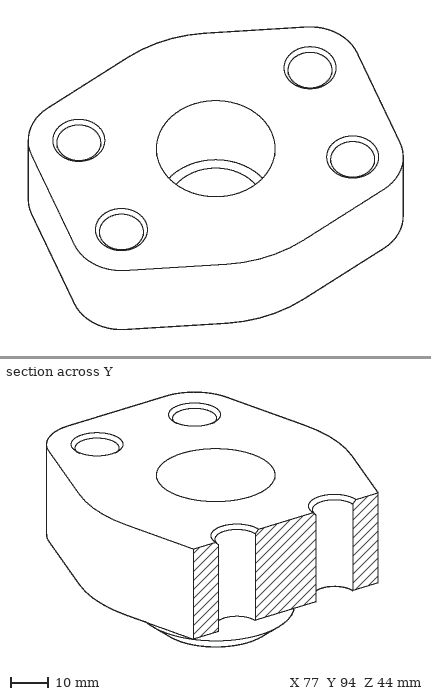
import cadquery as cq
import math

length = 94.0
width = 77.0
thickness = 27.2
side_radius = width / 2

bolt_x = 15.9
bolt_y = 33.4
bolt_diameter = 11.8
countersink_diameter = 14.0
countersink_angle = 90.0
corner_radius = length / 2 - bolt_y

total_height = 44.0
neck_diameter = 42.4
neck_tip_diameter = 31.0
neck_bevel_height = 4.7
neck_fillet = 3.8

bore_diameter = 26.4
socket_diameter = 32.0
socket_depth = thickness

neck_bottom = thickness - total_height


def polar(center_x, center_y, radius, angle):
    return (center_x + radius * math.cos(angle), center_y + radius * math.sin(angle))


def make_flange():
    """Side arcs about the centre, joined by tangent lines to the corner arcs."""
    center_distance = math.hypot(bolt_x, bolt_y)
    tangent_angle = math.atan2(bolt_y, bolt_x) - math.acos((side_radius - corner_radius) / center_distance)
    side_x, side_y = polar(0, 0, side_radius, tangent_angle)
    corner_x, corner_y = polar(bolt_x, bolt_y, corner_radius, tangent_angle)
    middle_angle = (tangent_angle + math.pi / 2) / 2
    middle_x, middle_y = polar(bolt_x, bolt_y, corner_radius, middle_angle)
    end_y = length / 2
    return (
        cq.Workplane("XY")
        .moveTo(side_x, -side_y)
        .threePointArc((side_radius, 0), (side_x, side_y))
        .lineTo(corner_x, corner_y)
        .threePointArc((middle_x, middle_y), (bolt_x, end_y))
        .lineTo(-bolt_x, end_y)
        .threePointArc((-middle_x, middle_y), (-corner_x, corner_y))
        .lineTo(-side_x, side_y)
        .threePointArc((-side_radius, 0), (-side_x, -side_y))
        .lineTo(-corner_x, -corner_y)
        .threePointArc((-middle_x, -middle_y), (-bolt_x, -end_y))
        .lineTo(bolt_x, -end_y)
        .threePointArc((middle_x, -middle_y), (corner_x, -corner_y))
        .close()
        .extrude(thickness)
    )


def make_neck():
    """Revolved neck with a bevelled tip and a concave fillet under the flange."""
    neck_radius = neck_diameter / 2
    fillet_offset = neck_fillet * (1 - math.sqrt(0.5))
    return (
        cq.Workplane("XZ")
        .moveTo(0, neck_bottom)
        .lineTo(neck_tip_diameter / 2, neck_bottom)
        .lineTo(neck_radius, neck_bottom + neck_bevel_height)
        .lineTo(neck_radius, -neck_fillet)
        .threePointArc(
            (neck_radius + fillet_offset, -fillet_offset),
            (neck_radius + neck_fillet, 0),
        )
        .lineTo(0, 0)
        .close()
        .revolve(360, (0, 0, 0), (0, 1, 0))
    )


def cut_bolt_holes(body):
    return (
        body.faces(">Z")
        .workplane(origin=(0, 0, thickness))
        .rect(2 * bolt_x, 2 * bolt_y, forConstruction=True)
        .vertices()
        .cskHole(bolt_diameter, countersink_diameter, countersink_angle)
    )


def cut_bore(body):
    return (
        body.faces(">Z")
        .workplane(origin=(0, 0, thickness))
        .cboreHole(bore_diameter, socket_diameter, socket_depth)
    )


result = cut_bore(cut_bolt_holes(make_flange().union(make_neck())))